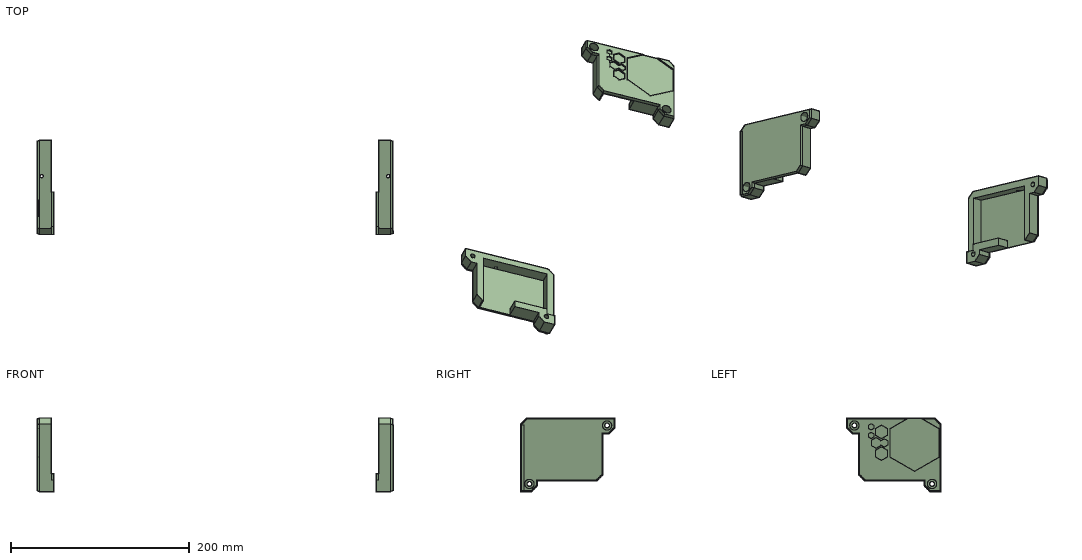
import cadquery as cq
import math

total_length = 398.8
cover_width = 105.5
cover_height = 82.5
front_y = -cover_width / 2
bottom_z = -cover_height / 2

main_width = 92.0
main_bottom = 12.0
corner_cut = 6.8
rear_tab_height = 18.0
front_tab_width = 19.0

rim_depth = 16.0
pad_depth = 18.7
plate_thickness = 3.5
chamfer_depth = 2.8
chamfer_width = 1.0

rim_width = 8.0
bar_end = 48.0
bar_top = 20.5
pad_step_top = 13.0
pad_step_y = 9.0

screw_diameter = 5.0
counterbore_diameter = 10.5
counterbore_depth = 10.0
screw_places = [(97.0, 74.0), (10.0, 8.8)]

pin_diameter = 3.4
pin_y = 65.5
pin_x = 5.0

pocket_depth = 1.5
hex_pockets = [
    (29.5, 54.5, 55.0),
    (66.5, 67.0, 13.0),
    (66.5, 42.5, 13.0),
    (72.5, 54.5, 10.5),
    (63.5, 54.5, 8.0),
    (78.0, 72.5, 6.0),
    (78.0, 63.0, 6.0),
]

strip_height = 0.8
strip_width = 2.8


def prism(points, x_start, x_end):
    """Extrude a closed (y, z) polygon along X."""
    return cq.Workplane("YZ", origin=(x_start, 0, 0)).polyline(points).close().extrude(x_end - x_start)


def block(x_range, y_range, z_range):
    """Axis-aligned box between the given limits."""
    sizes = [high - low for low, high in (x_range, y_range, z_range)]
    return cq.Workplane("XY", origin=(x_range[0], y_range[0], z_range[0])).box(*sizes, centered=False)


def outer_shell():
    """Full outline up to the rim, chamfered round its outer face."""
    outline = [
        (0, 0),
        (front_tab_width - corner_cut, 0),
        (front_tab_width, corner_cut),
        (front_tab_width, main_bottom),
        (main_width - corner_cut, main_bottom),
        (main_width, main_bottom + corner_cut),
        (main_width, cover_height - rear_tab_height),
        (cover_width - corner_cut, cover_height - rear_tab_height),
        (cover_width, cover_height - rear_tab_height + corner_cut),
        (cover_width, cover_height),
        (corner_cut, cover_height),
        (0, cover_height - corner_cut),
    ]
    return prism(outline, 0, rim_depth).faces("<X").chamfer(chamfer_depth, chamfer_width)


def cavity():
    """Inner hollow, open at the bottom between the bar and the rear rim."""
    rear_wall = main_width - rim_width
    hollow = [
        (rim_width, bar_top),
        (bar_end, bar_top),
        (bar_end, 0),
        (rear_wall, 0),
        (rear_wall, cover_height - rim_width),
        (rim_width, cover_height - rim_width),
    ]
    return prism(hollow, plate_thickness, pad_depth)


def pad():
    """Raised pad on the bar and on the front tab."""
    outline = [
        (0, 0),
        (front_tab_width - corner_cut, 0),
        (front_tab_width, corner_cut),
        (front_tab_width, main_bottom),
        (bar_end, main_bottom),
        (bar_end, bar_top),
        (pad_step_y, bar_top),
        (pad_step_y, pad_step_top),
        (0, pad_step_top),
    ]
    return prism(outline, plate_thickness, pad_depth)


def screw_holes():
    """Through holes, counterbored from the outer face."""
    face = cq.Workplane("YZ").pushPoints(screw_places)
    bores = face.circle(screw_diameter / 2).extrude(pad_depth)
    heads = face.circle(counterbore_diameter / 2).extrude(counterbore_depth)
    return bores.union(heads)


def pin_hole():
    """Vertical hole through the top rim into the cavity."""
    top = cq.Workplane("XY", origin=(pin_x, pin_y, cover_height))
    return top.circle(pin_diameter / 2).extrude(-rim_width)


def plain_cover():
    """Cover with its outer face at x = 0 and its inner side toward +X."""
    return outer_shell().cut(cavity()).union(pad()).cut(screw_holes()).cut(pin_hole())


def hex_pocket(y, z, across_flats):
    """Hexagonal pocket with one corner up."""
    radius = across_flats / math.sqrt(3)
    corners = []
    for index in range(6):
        angle = math.radians(30 + 60 * index)
        corners.append((y + radius * math.cos(angle), z + radius * math.sin(angle)))
    return prism(corners, 0, pocket_depth)


def left_cover():
    """Cover on the -X side, with hexagonal pockets in its outer face."""
    cover = plain_cover()
    for y, z, across_flats in hex_pockets:
        cover = cover.cut(hex_pocket(y, z, across_flats))
    return cover.translate((-total_length / 2, front_y, bottom_z))


def right_cover():
    """Mirrored cover on the +X side, with a raised strip on its outer face."""
    strip = block(
        (-strip_height, 0),
        (chamfer_width, chamfer_width + strip_width),
        (chamfer_width, cover_height - corner_cut - chamfer_width),
    )
    cover = plain_cover().union(strip).mirror("YZ")
    return cover.translate((total_length / 2 - strip_height, front_y, bottom_z))


result = cq.Compound.makeCompound([left_cover().val(), right_cover().val()])